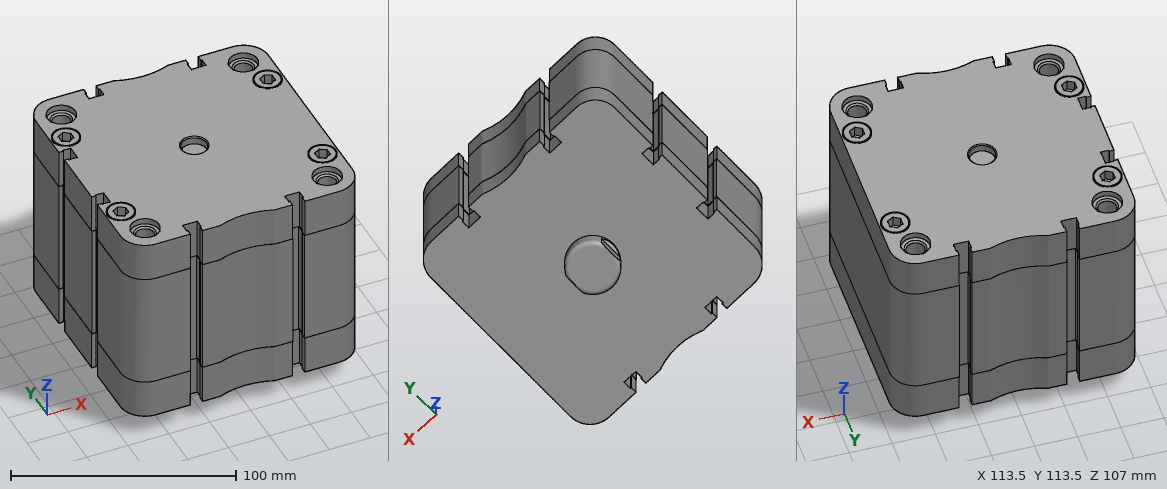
import cadquery as cq
import math


side = 113.5
half_side = side / 2
housing_height = 97.0
cap_height = 19.4
barrel_height = housing_height - 2 * cap_height
corner_radius = 12.0

hollow_depth = 2.5
cap_hollow_width = 26.6
barrel_hollow_width = 27.5

y_side_slot_offset = 25.0
x_side_slot_offset = 17.5
y_side_neck_depth = 3.0
x_side_neck_depth = 2.2
y_side_slot_depth = 7.0
cap_x_side_slot_depth = 6.0
barrel_x_side_slot_depth = 5.7
cap_neck_width = 6.0
cap_head_width = 7.2
barrel_neck_width = 5.8
barrel_head_width = 6.5

mount_offset = 44.5
mount_hole_diameter = 8.5
mount_chamfer_diameter = 10.1
mount_bore_diameter = 13.5
mount_bore_depth = 3.0

centring_diameter = 12.0
centring_mouth_diameter = 13.0
centring_depth = 4.0

screw_x = 49.3
screw_y = 29.2
screw_hole_diameter = 13.0
screw_top_diameter = 12.0
socket_width = 6.0
socket_depth = 5.0

rod_diameter = 25.0
rod_stick_out = 10.0
rod_end_fillet = 2.0
flats_width = 22.0
flats_start = 3.0


def t_slot(neck_width, head_width, neck_depth, depth, height):
    """T-slot cutter for the -Y side, centred on X = 0."""
    neck = cq.Workplane("XY").box(neck_width, depth, height, centered=(True, False, False))
    head = (
        cq.Workplane("XY")
        .box(head_width, depth - neck_depth, height, centered=(True, False, False))
        .translate((0, neck_depth, 0))
    )
    return neck.union(head).translate((0, -half_side, 0))


def hollow(width, height):
    """Shallow cylindrical cutter for the -Y side."""
    radius = (width**2 / 4 + hollow_depth**2) / (2 * hollow_depth)
    return cq.Workplane("XY").center(0, hollow_depth - half_side - radius).circle(radius).extrude(height)


def housing_section(height, neck_width, head_width, x_side_slot_depth, hollow_width):
    """Length of housing, standing on Z = 0, with its hollows and T-slots."""
    section = (
        cq.Workplane("XY")
        .box(side, side, height, centered=(True, True, False))
        .edges("|Z")
        .fillet(corner_radius)
    )
    groove = hollow(hollow_width, height)
    y_slot = t_slot(neck_width, head_width, y_side_neck_depth, y_side_slot_depth, height)
    x_slot = t_slot(neck_width, head_width, x_side_neck_depth, x_side_slot_depth, height)
    x_slot = x_slot.rotate((0, 0, 0), (0, 0, 1), -90)
    for turn in (0, 180):
        section = section.cut(groove.rotate((0, 0, 0), (0, 0, 1), turn))
        for x in (-y_side_slot_offset, y_side_slot_offset):
            section = section.cut(y_slot.translate((x, 0, 0)).rotate((0, 0, 0), (0, 0, 1), turn))
    for y in (-x_side_slot_offset, x_side_slot_offset):
        section = section.cut(x_slot.translate((0, y, 0)))
    return section


def cap_blank():
    """Plain cap shared by both ends of the cylinder."""
    return housing_section(
        cap_height, cap_neck_width, cap_head_width, cap_x_side_slot_depth, cap_hollow_width
    )


def mount_hole_cutter():
    """Stepped hole below Z = 0: bore, 45 degree chamfer, then a hole through the cap."""
    chamfer_end = mount_bore_depth + (mount_chamfer_diameter - mount_hole_diameter) / 2
    return (
        cq.Workplane("XZ")
        .polyline([
            (0, 0),
            (mount_bore_diameter / 2, 0),
            (mount_bore_diameter / 2, -mount_bore_depth),
            (mount_chamfer_diameter / 2, -mount_bore_depth),
            (mount_hole_diameter / 2, -chamfer_end),
            (mount_hole_diameter / 2, -cap_height),
            (0, -cap_height),
        ])
        .close()
        .revolve(360, (0, 0), (0, 1))
    )


def centring_hole_cutter():
    """Flat-bottomed hole below Z = 0 with a 45 degree chamfered mouth."""
    chamfer = (centring_mouth_diameter - centring_diameter) / 2
    return (
        cq.Workplane("XZ")
        .polyline([
            (0, 0),
            (centring_mouth_diameter / 2, 0),
            (centring_diameter / 2, -chamfer),
            (centring_diameter / 2, -centring_depth),
            (0, -centring_depth),
        ])
        .close()
        .revolve(360, (0, 0), (0, 1))
    )


def screw_head_cutter():
    """Ring around the chamfered edge of a flush screw head, and its hexagon socket."""
    outer = screw_hole_diameter / 2
    inner = screw_top_diameter / 2
    ring = (
        cq.Workplane("XZ")
        .polyline([(inner, 0), (outer, 0), (outer, inner - outer)])
        .close()
        .revolve(360, (0, 0), (0, 1))
    )
    socket = (
        cq.Workplane("XY")
        .polygon(6, socket_width / math.cos(math.pi / 6))
        .extrude(-socket_depth)
        .rotate((0, 0, 0), (0, 0, 1), 30)
    )
    return ring.union(socket)


def make_bearing_cap():
    rod_hole = cq.Workplane("XY").circle(rod_diameter / 2).extrude(cap_height)
    return cap_blank().cut(rod_hole)


def make_barrel():
    barrel = housing_section(
        barrel_height, barrel_neck_width, barrel_head_width, barrel_x_side_slot_depth, barrel_hollow_width
    )
    return barrel.translate((0, 0, cap_height))


def make_end_cap():
    end_cap = cap_blank().translate((0, 0, housing_height - cap_height))
    end_cap = end_cap.cut(centring_hole_cutter().translate((0, 0, housing_height)))
    mount_hole = mount_hole_cutter()
    screw_head = screw_head_cutter()
    for x_sign in (-1, 1):
        for y_sign in (-1, 1):
            mount_place = (x_sign * mount_offset, y_sign * mount_offset, housing_height)
            screw_place = (x_sign * screw_x, y_sign * screw_y, housing_height)
            end_cap = end_cap.cut(mount_hole.translate(mount_place))
            end_cap = end_cap.cut(screw_head.translate(screw_place))
    return end_cap


def wrench_flat_cutter():
    """Cutter for the wrench flat facing -X, with a 45 degree run-out at its upper end."""
    flat_x = -flats_width / 2
    rim_x = -rod_diameter / 2
    run_out = flat_x - rim_x
    return (
        cq.Workplane("XZ")
        .polyline([
            (flat_x, -rod_stick_out),
            (flat_x, -flats_start),
            (rim_x, run_out - flats_start),
            (rim_x, -rod_stick_out),
        ])
        .close()
        .extrude(rod_diameter / 2, both=True)
    )


def make_rod():
    rod = (
        cq.Workplane("XY")
        .workplane(offset=-rod_stick_out)
        .circle(rod_diameter / 2)
        .extrude(rod_stick_out + cap_height)
        .faces("<Z")
        .edges()
        .fillet(rod_end_fillet)
    )
    flat = wrench_flat_cutter()
    for turn in (0, 180):
        rod = rod.cut(flat.rotate((0, 0, 0), (0, 0, 1), turn))
    return rod


bearing_cap = make_bearing_cap()
barrel = make_barrel()
end_cap = make_end_cap()
rod = make_rod()

result = cq.Compound.makeCompound([bearing_cap.val(), barrel.val(), end_cap.val(), rod.val()])